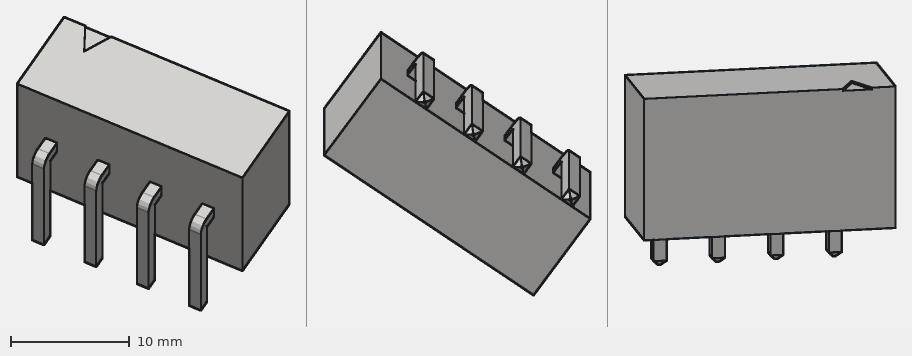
import cadquery as cq

housing_length = 21.6
housing_depth = 8.32
housing_height = 12.31

pin_count = 4
pin_pitch = 5.01
pin_size = 1.12
pin_reach = 2.33
pin_top = 6.72
pin_drop = 4.8
bend_radius = 1.0
tip_height = 0.48
tip_flat = 0.2

mark_side = 2.5
mark_depth = 0.15

pin_positions = [(i - (pin_count - 1) / 2) * pin_pitch for i in range(pin_count)]


def make_housing():
    block = cq.Workplane("XY").box(
        housing_length, housing_depth, housing_height, centered=(True, False, False)
    )
    mark_x = pin_positions[0]
    mark = (
        cq.Workplane("XY", origin=(mark_x, housing_depth, housing_height))
        .moveTo(-mark_side / 2, 0)
        .lineTo(mark_side / 2, 0)
        .lineTo(0, -mark_side)
        .close()
        .extrude(-mark_depth)
    )
    return block.cut(mark).solids()


def make_pin(x):
    """Right-angle pin that butts against the housing front and ends in a tapered tip."""
    taper_start = -pin_drop + tip_height
    leg_inner = -pin_reach + pin_size
    bent_bar = (
        cq.Workplane("YZ", origin=(x - pin_size / 2, 0, 0))
        .moveTo(0, pin_top)
        .lineTo(-pin_reach + bend_radius, pin_top)
        .radiusArc((-pin_reach, pin_top - bend_radius), -bend_radius)
        .lineTo(-pin_reach, taper_start)
        .lineTo(leg_inner, taper_start)
        .lineTo(leg_inner, pin_top - pin_size)
        .lineTo(0, pin_top - pin_size)
        .close()
        .extrude(pin_size)
    )
    tip = (
        cq.Workplane("XY", origin=(x, -pin_reach + pin_size / 2, taper_start))
        .rect(pin_size, pin_size)
        .workplane(offset=-tip_height)
        .rect(tip_flat, tip_flat)
        .loft(ruled=True)
    )
    return bent_bar.union(tip).solids()


housing = make_housing()
pins = [make_pin(x) for x in pin_positions]

result = cq.Compound.makeCompound([housing.val(), *[pin.val() for pin in pins]])